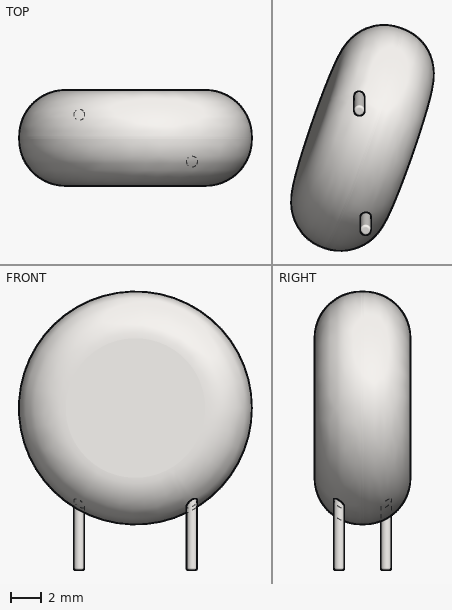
import cadquery as cq

body_diameter = 15.5
body_thickness = 6.4
total_height = 18.53

band_width = 0.17
rim_radius = (body_thickness - band_width) / 2

lead_diameter = 0.72
lead_spacing_x = 7.49
lead_spacing_y = 3.11
lead_tip_fillet = 0.17

body_radius = body_diameter / 2
lead_bottom = body_radius - total_height


def make_body():
    """Flat-faced disc with its axis along Y, centred on the origin."""
    disc = cq.Workplane("XZ").circle(body_radius).extrude(body_thickness / 2, both=True)
    return disc.edges().fillet(rim_radius)


def make_lead(x, y):
    """Vertical round lead from its rounded tip up into the body, ending at the disc axis."""
    lead = (
        cq.Workplane("XY", origin=(x, y, lead_bottom))
        .circle(lead_diameter / 2)
        .extrude(-lead_bottom)
    )
    return lead.faces("<Z").edges().fillet(lead_tip_fillet)


result = make_body()
for side in (-1, 1):
    result = result.union(make_lead(side * lead_spacing_x / 2, -side * lead_spacing_y / 2))